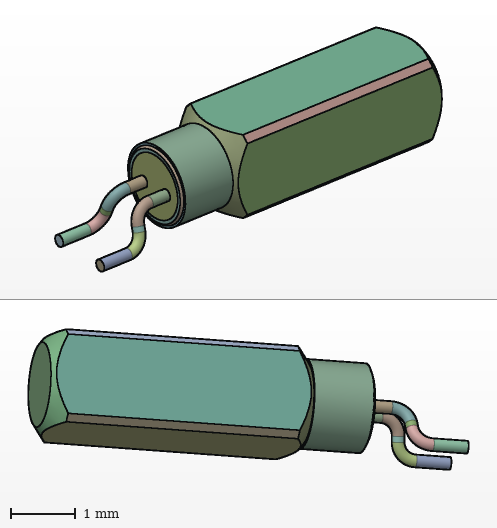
import cadquery as cq
import math

TOTAL_LENGTH = 6.7

BLOCK_WIDTH = 1.48
BLOCK_LENGTH = 4.21
CORNER_CHAMFER = 0.11
NECK_RADIUS = 0.655
NECK_CHAMFER = 0.04
CONE_LENGTH = 0.255
CORNER_RADIUS = 0.98

SLEEVE_WALL = 0.04
SLEEVE_LENGTH = 0.95

DISC_RADIUS = 0.555

LEAD_RADIUS = 0.1
LEAD_START_X = 0.275
LEAD_START_Z = -0.035
LEAD_END_X = 0.495
LEAD_END_Z = LEAD_RADIUS - BLOCK_WIDTH / 2
LEAD_ROOT_LENGTH = 0.34
LEAD_TIP_LENGTH = 0.555
LEAD_MIDDLE_LENGTH = 0.095

SHOULDER_Y = -BLOCK_LENGTH
SLEEVE_Y = SHOULDER_Y - SLEEVE_LENGTH
NECK_Y = SLEEVE_Y - NECK_CHAMFER
TIP_Y = -TOTAL_LENGTH
NECK_LENGTH = SHOULDER_Y - NECK_Y


def rod(radius, start_y, length, x=0, z=0):
    """Cylinder that runs from start_y toward +Y."""
    return cq.Workplane(cq.Solid.makeCylinder(radius, length, cq.Vector(x, start_y, z), cq.Vector(0, 1, 0)))


def make_housing():
    block = (
        cq.Workplane("XY")
        .box(BLOCK_WIDTH, BLOCK_LENGTH, BLOCK_WIDTH)
        .edges("|Y")
        .chamfer(CORNER_CHAMFER)
        .translate((0, -BLOCK_LENGTH / 2, 0))
    )
    envelope = (
        cq.Workplane("XY")
        .moveTo(0, 0)
        .lineTo(NECK_RADIUS, 0)
        .lineTo(CORNER_RADIUS, -CONE_LENGTH)
        .lineTo(CORNER_RADIUS, SHOULDER_Y + CONE_LENGTH)
        .lineTo(NECK_RADIUS, SHOULDER_Y)
        .lineTo(0, SHOULDER_Y)
        .close()
        .revolve(360, (0, 0, 0), (0, 1, 0))
    )
    neck = rod(NECK_RADIUS, NECK_Y, NECK_LENGTH).faces("<Y").edges().chamfer(NECK_CHAMFER)
    bore = rod(DISC_RADIUS, NECK_Y, NECK_LENGTH)
    return block.intersect(envelope).union(neck).cut(bore)


def make_sleeve():
    blank = rod(NECK_RADIUS + SLEEVE_WALL, SLEEVE_Y, SLEEVE_LENGTH)
    return blank.cut(rod(NECK_RADIUS, SLEEVE_Y, SLEEVE_LENGTH))


def make_disc():
    disc = rod(DISC_RADIUS, NECK_Y, NECK_LENGTH)
    for side in (-1, 1):
        disc = disc.cut(rod(LEAD_RADIUS, NECK_Y, NECK_LENGTH, side * LEAD_START_X, LEAD_START_Z))
    return disc


def make_lead(side):
    """Round wire with an S-bend that leads outward and down; side is -1 or 1."""
    shift_x = side * (LEAD_END_X - LEAD_START_X)
    shift_z = LEAD_END_Z - LEAD_START_Z
    drop = math.hypot(shift_x, shift_z)
    first_bend_y = NECK_Y - LEAD_ROOT_LENGTH
    last_bend_y = TIP_Y + LEAD_TIP_LENGTH
    run = first_bend_y - last_bend_y

    bend_radius = (run**2 + drop**2 - LEAD_MIDDLE_LENGTH**2) / (4 * drop)
    bend_angle = math.atan2(run, 2 * bend_radius - drop) - math.atan2(LEAD_MIDDLE_LENGTH, 2 * bend_radius)

    def point(along, down):
        """Point in the tilted plane of the S-bend, measured from its start."""
        share = down / drop
        return cq.Vector(
            side * LEAD_START_X + share * shift_x, first_bend_y - along, LEAD_START_Z + share * shift_z
        )

    def arc_point(angle):
        return bend_radius * math.sin(angle), bend_radius * (1 - math.cos(angle))

    half_along, half_down = arc_point(bend_angle / 2)
    arc_along, arc_down = arc_point(bend_angle)
    root = point(-LEAD_ROOT_LENGTH - NECK_LENGTH, 0)
    bend_start = point(0, 0)
    middle_start = point(arc_along, arc_down)
    middle_end = point(run - arc_along, drop - arc_down)
    bend_end = point(run, drop)
    tip = point(run + LEAD_TIP_LENGTH, drop)

    path = cq.Wire.assembleEdges([
        cq.Edge.makeLine(root, bend_start),
        cq.Edge.makeThreePointArc(bend_start, point(half_along, half_down), middle_start),
        cq.Edge.makeLine(middle_start, middle_end),
        cq.Edge.makeThreePointArc(middle_end, point(run - half_along, drop - half_down), bend_end),
        cq.Edge.makeLine(bend_end, tip),
    ])
    section = cq.Plane(origin=root.toTuple(), xDir=(1, 0, 0), normal=(0, -1, 0))
    return cq.Workplane(section).circle(LEAD_RADIUS).sweep(cq.Workplane(path))


housing = make_housing()
sleeve = make_sleeve()
disc = make_disc()
leads = [make_lead(side) for side in (-1, 1)]

result = cq.Compound.makeCompound([
    housing.val(),
    sleeve.val(),
    disc.val(),
    *[lead.val() for lead in leads],
])